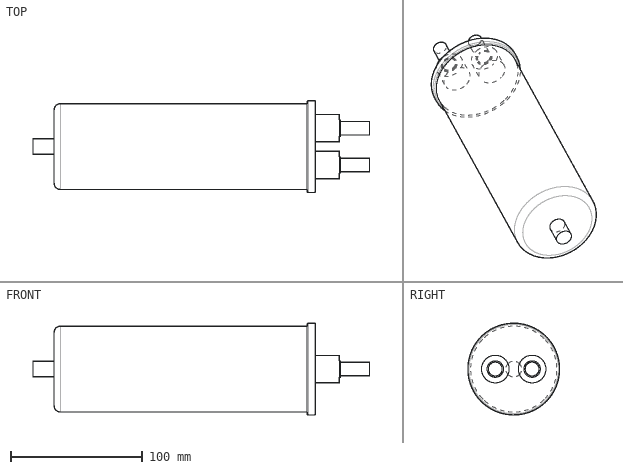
import cadquery as cq

overall_length = 256.0
can_diameter = 65.5
can_length = 199.0
can_end_radius = 5.0

rim_diameter = 70.0
rim_width = 6.5
rim_edge_radius = 1.0

stud_diameter = 12.0
stud_length = 16.0

terminal_spacing = 28.0
bushing_diameter = 21.0
bushing_length = 18.0
collar_diameter = 12.5
collar_length = 1.0
pin_diameter = 10.5

stud_tip_x = -overall_length / 2
closed_end_x = stud_tip_x + stud_length
terminal_end_x = closed_end_x + can_length
rim_start_x = terminal_end_x - rim_width
bushing_end_x = terminal_end_x + bushing_length
collar_end_x = bushing_end_x + collar_length
pin_tip_x = overall_length / 2


def rod(start_x, end_x, diameter, y=0.0):
    """Solid cylinder parallel to X between two stations."""
    start_plane = cq.Workplane("YZ", origin=(start_x, y, 0))
    return start_plane.circle(diameter / 2).extrude(end_x - start_x)


def can():
    body = rod(closed_end_x, terminal_end_x, can_diameter)
    return body.faces("<X").edges().fillet(can_end_radius)


def rim():
    ring = rod(rim_start_x, terminal_end_x, rim_diameter)
    return ring.faces("<X or >X").edges().fillet(rim_edge_radius)


def terminal(y):
    bushing = rod(terminal_end_x, bushing_end_x, bushing_diameter, y)
    collar = rod(bushing_end_x, collar_end_x, collar_diameter, y)
    pin = rod(collar_end_x, pin_tip_x, pin_diameter, y)
    return bushing.union(collar).union(pin)


stud = rod(stud_tip_x, closed_end_x, stud_diameter)

result = can().union(rim()).union(stud)
for side in (-1, 1):
    result = result.union(terminal(side * terminal_spacing / 2))